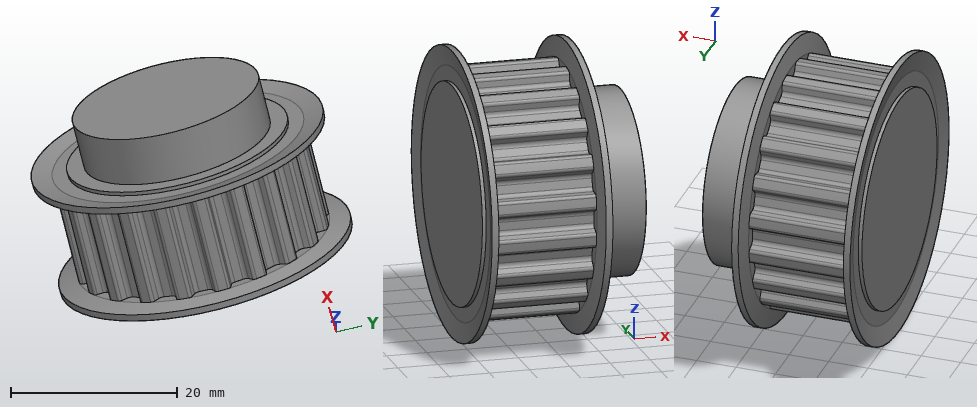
import cadquery as cq
import math

toothed_width = 15.0
hub_length = 5.98
hub_diameter = 23.0

flange_diameter = 36.0
flange_thickness = 0.83
dish_depth = 0.45
dish_diameter = 31.05
shoulder_diameter = 27.25

tooth_count = 20
tip_diameter = dish_diameter
groove_depth = 1.4
groove_floor_width = 1.87
flank_angle = 25.0
root_radius = 0.65
tip_radius = 0.45

flange_inner_face = dish_depth + flange_thickness
belt_width = toothed_width - 2 * flange_inner_face
tip_circle_radius = tip_diameter / 2


def make_toothed_body():
    """Cylinder between the flanges, cut by evenly spaced trapezoidal grooves."""
    body = (
        cq.Workplane("YZ", origin=(flange_inner_face, 0, 0))
        .circle(tip_circle_radius)
        .extrude(belt_width)
    )
    floor_radius = tip_circle_radius - groove_depth
    cutter_top = tip_circle_radius + groove_depth
    half_floor = groove_floor_width / 2
    half_top = half_floor + (cutter_top - floor_radius) * math.tan(math.radians(flank_angle))
    cutter = (
        cq.Workplane("YZ", origin=(flange_inner_face, 0, 0))
        .polyline([
            (-half_floor, floor_radius),
            (half_floor, floor_radius),
            (half_top, cutter_top),
            (-half_top, cutter_top),
        ])
        .close()
        .extrude(belt_width)
        .edges("|X and <Z")
        .fillet(root_radius)
    )
    for index in range(tooth_count):
        body = body.cut(cutter.rotate((0, 0, 0), (1, 0, 0), index * 360 / tooth_count))

    tip_edges = [
        edge for edge in body.edges("|X").vals()
        if math.hypot(edge.Center().y, edge.Center().z) > (tip_circle_radius + floor_radius) / 2
    ]
    return body.newObject(tip_edges).fillet(tip_radius)


def make_flange():
    """Dished flange with its shoulder, rim face at X = 0 and teeth on the +X side."""
    rim_radius = flange_diameter / 2
    dish_radius = dish_diameter / 2
    shoulder_radius = shoulder_diameter / 2
    return (
        cq.Workplane("XY")
        .moveTo(0, 0)
        .lineTo(0, shoulder_radius)
        .lineTo(dish_depth, shoulder_radius)
        .lineTo(dish_depth, dish_radius)
        .lineTo(0, rim_radius)
        .lineTo(flange_thickness, rim_radius)
        .lineTo(flange_inner_face, dish_radius)
        .lineTo(flange_inner_face, 0)
        .close()
        .revolve(360, (0, 0, 0), (1, 0, 0))
    )


def make_hub():
    """Plain hub running from the far flange to the +X end."""
    hub_start = toothed_width - flange_inner_face
    return (
        cq.Workplane("YZ", origin=(hub_start, 0, 0))
        .circle(hub_diameter / 2)
        .extrude(flange_inner_face + hub_length)
    )


near_flange = make_flange()
far_flange = near_flange.mirror("YZ").translate((toothed_width, 0, 0))

result = make_toothed_body().union(near_flange).union(far_flange).union(make_hub())